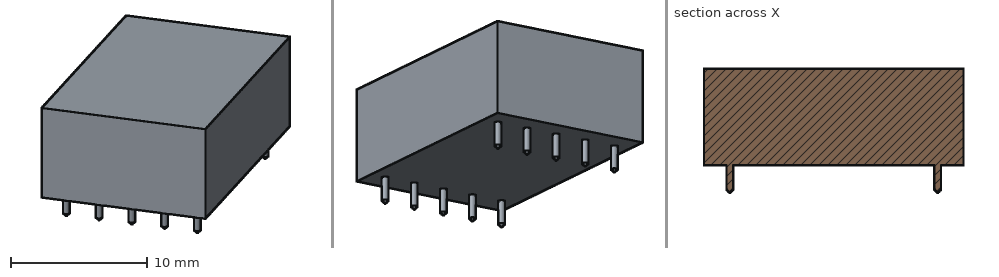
import cadquery as cq

body_width = 12.7
body_length = 19.05
overall_height = 9.13
pin_length = 2.03
body_height = overall_height - pin_length

pin_diameter = 0.51
pin_tip_height = pin_diameter / 2
pin_pitch = 2.54
pins_per_row = 5
row_spacing = 15.24


def make_body():
    """Block standing on the Z = 0 seating plane."""
    return cq.Workplane("XY").box(body_width, body_length, body_height, centered=(True, True, False))


def make_pin(x, y):
    """Pin hanging below the seating plane, revolved about its own axis."""
    radius = pin_diameter / 2
    profile = (
        cq.Workplane("XZ")
        .lineTo(radius, 0)
        .lineTo(radius, -pin_length + pin_tip_height)
        .lineTo(0, -pin_length)
        .close()
    )
    return profile.revolve(360, (0, 0, 0), (0, 1, 0)).translate((x, y, 0))


result = make_body()
for row_y in (-row_spacing / 2, row_spacing / 2):
    for index in range(pins_per_row):
        pin_x = (index - (pins_per_row - 1) / 2) * pin_pitch
        result = result.union(make_pin(pin_x, row_y))